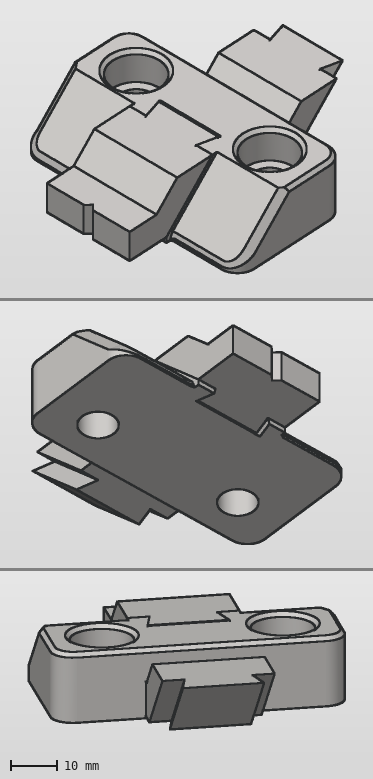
import cadquery as cq
import math


block_width = 65.0
block_height = 16.0
back_y = 10.5
wing_front_y = -23.0
corner_radius = 5.0
top_chamfer = 1.0

pad_width = 24.8
pad_front_y = -24.5
seat_top_y = -10.0
wing_drop = 1.0
pad_root_radius = 1.0

left_setback = 2.5
right_setback = 1.8

screw_spacing = 40.0
screw_hole_diameter = 9.0
counterbore_diameter = 14.0
counterbore_depth = 8.6
counterbore_chamfer = 1.0

dovetail_neck_width = 15.0
dovetail_angle = 15.0
tail_length = 5.5
groove_depth = 6.0

slider_width = pad_width
slider_bottom_z = 1.5
slider_front_y = -36.0
nose_height = 8.0
slider_top_length = 11.1
notch_depth = 1.4

rear_shift_y = 38.95
rear_shift_z = -1.05

half_width = block_width / 2
half_pad = pad_width / 2
slope_top_y = seat_top_y + wing_drop * math.sqrt(2)
slope_normal = cq.Vector(0, -math.sqrt(0.5), math.sqrt(0.5))
clearance = 1.0
cutter_reach = 1.5


def side_profile(points, width):
    """Prism of a (Y, Z) outline, centred across X."""
    return cq.Workplane("YZ").polyline(points).close().extrude(width / 2, both=True)


def cut_slope(body, top_y):
    """Remove everything in front of the 45 degree plane that meets the block top at top_y."""
    drop = block_height + clearance
    waste = [
        (top_y + clearance, block_height + clearance),
        (top_y - drop, -clearance),
        (top_y - 2 * drop, -clearance),
        (top_y - 2 * drop, block_height + clearance),
    ]
    return body.cut(side_profile(waste, block_width + 2 * clearance))


def chamfer_section(x, y, out_x, out_y, setback):
    """Triangle trimming the slope edge.

    (x, y) is the point one setback inside the wall, whose outward normal is (out_x, out_y). The
    chamfer joins the points of slope and wall that are one setback away from that inner point.
    """
    slope_z = block_height - (slope_top_y - y)
    inner = cq.Vector(x, y, slope_z - setback * math.sqrt(2))
    wall_normal = cq.Vector(out_x, out_y, 0)
    on_slope = inner + slope_normal * setback
    on_wall = inner + wall_normal * setback
    outside = inner + (slope_normal + wall_normal) * (cutter_reach * setback)
    return cq.Wire.makePolygon([on_slope, on_wall, outside], close=True)


def slope_chamfer_cutters(side, setback):
    """Cutters along the side, corner, front and pad-root edges of one wing slope."""
    corner_x = half_width - corner_radius
    corner_y = wing_front_y + corner_radius
    corner_path_radius = corner_radius - setback
    root_x = half_pad + pad_root_radius
    root_y = wing_front_y - pad_root_radius
    root_path_radius = pad_root_radius + setback

    def corner_section(angle):
        out_x = math.cos(angle)
        out_y = -math.sin(angle)
        x = corner_x + corner_path_radius * out_x
        y = corner_y + corner_path_radius * out_y
        return chamfer_section(side * x, y, side * out_x, out_y, setback)

    def root_section(angle):
        out_x = math.sin(angle)
        out_y = -math.cos(angle)
        x = root_x - root_path_radius * out_x
        y = root_y - root_path_radius * out_y
        return chamfer_section(side * x, y, side * out_x, out_y, setback)

    side_start_y = slope_top_y + corner_radius
    side_start = chamfer_section(side * (half_width - setback), side_start_y, side, 0, setback)
    corner = [corner_section(math.radians(angle)) for angle in (0, 22.5, 45, 67.5, 90)]
    root = [root_section(math.radians(angle)) for angle in (0, 20, 40, 60)]
    return [
        cq.Solid.makeLoft([side_start, corner[0]], True),
        cq.Solid.makeLoft(corner),
        cq.Solid.makeLoft([corner[-1], root[0]], True),
        cq.Solid.makeLoft(root),
    ]


def make_wings():
    """Rounded block with lowered slopes and chamfered edges, with the pad foot cut down to the slope."""
    body = (
        cq.Workplane("XY")
        .moveTo(-half_width, back_y)
        .lineTo(half_width, back_y)
        .lineTo(half_width, wing_front_y)
        .lineTo(half_pad, wing_front_y)
        .lineTo(half_pad, pad_front_y)
        .lineTo(-half_pad, pad_front_y)
        .lineTo(-half_pad, wing_front_y)
        .lineTo(-half_width, wing_front_y)
        .close()
        .extrude(block_height)
    )
    for side in (-1, 1):
        for y in (back_y, wing_front_y):
            corner = cq.selectors.NearestToPointSelector((side * half_width, y, block_height / 2))
            body = body.edges(corner).fillet(corner_radius)
        root = cq.selectors.NearestToPointSelector((side * half_pad, wing_front_y, block_height / 2))
        body = body.edges(root).fillet(pad_root_radius)
    body = body.faces(">Z").edges("not <Y").chamfer(top_chamfer)
    body = cut_slope(body, slope_top_y)
    for side, setback in ((-1, left_setback), (1, right_setback)):
        for cutter in slope_chamfer_cutters(side, setback):
            body = body.cut(cq.Workplane(cutter))
    return body


def make_pad():
    """Central pad with the seat at 45 degrees."""
    pad_back_y = back_y - top_chamfer
    pad = (
        cq.Workplane("XY")
        .center(0, (pad_back_y + pad_front_y) / 2)
        .rect(pad_width, pad_back_y - pad_front_y)
        .extrude(block_height)
    )
    return cut_slope(pad, seat_top_y)


def make_dovetail(depth, bottom_z):
    """Dovetail running down the seat from the block top to bottom_z, wider away from the seat."""
    neck = dovetail_neck_width / 2
    widening = math.tan(math.radians(dovetail_angle))
    end = neck + depth * widening
    length = block_height - bottom_z
    front = neck - clearance * widening
    y_end = seat_top_y + depth
    y_front = seat_top_y - clearance
    top = cq.Wire.makePolygon(
        [
            cq.Vector(-front, y_front, block_height),
            cq.Vector(front, y_front, block_height),
            cq.Vector(end, y_end, block_height),
            cq.Vector(-end, y_end, block_height),
        ],
        close=True,
    )
    return cq.Workplane(cq.Solid.extrudeLinear(top, [], cq.Vector(0, -length, -length)))


def make_screw_holes():
    """Both screw holes with their counterbores and lead-in chamfers, as cutting bodies."""
    hole_radius = screw_hole_diameter / 2
    bore_radius = counterbore_diameter / 2
    counterbore_floor_z = block_height - counterbore_depth
    outline = [
        (0, 0),
        (hole_radius, 0),
        (hole_radius, counterbore_floor_z),
        (bore_radius, counterbore_floor_z),
        (bore_radius, block_height - counterbore_chamfer),
        (bore_radius + counterbore_chamfer, block_height),
        (0, block_height),
    ]
    tool = cq.Workplane("XZ").polyline(outline).close().revolve(360, (0, 0), (0, 1))
    half_spacing = screw_spacing / 2
    return [tool.translate((side * half_spacing, 0, 0)) for side in (-1, 1)]


def make_nose_pocket():
    """Pocket in the block's back for the nose of the rear slider, as a cutting body."""
    pocket_end_y = slider_front_y + rear_shift_y
    pocket_bottom_z = slider_bottom_z + rear_shift_z
    depth = back_y - pocket_end_y
    pocket = cq.Workplane("XY").box(slider_width, depth, nose_height, centered=(True, False, False))
    return pocket.translate((0, pocket_end_y, pocket_bottom_z))


def make_block():
    body = make_wings().union(make_pad())
    body = body.cut(make_dovetail(groove_depth, -groove_depth))
    for hole in make_screw_holes():
        body = body.cut(hole)
    return body.cut(make_nose_pocket())


def make_slider():
    """Slider with a sloped back on the seat, a stepped nose with a V notch, and a dovetail."""
    nose_top_z = slider_bottom_z + nose_height
    front_slope_y = seat_top_y - slider_top_length
    nose_back_y = front_slope_y - (block_height - nose_top_z)
    seat_bottom_y = seat_top_y - (block_height - slider_bottom_z)
    outline = [
        (seat_top_y, block_height),
        (front_slope_y, block_height),
        (nose_back_y, nose_top_z),
        (slider_front_y, nose_top_z),
        (slider_front_y, slider_bottom_z),
        (seat_bottom_y, slider_bottom_z),
    ]
    body = side_profile(outline, slider_width)
    body = body.union(make_dovetail(tail_length, slider_bottom_z))
    notch = (
        cq.Workplane("XY", origin=(0, slider_front_y, slider_bottom_z))
        .polyline([(-notch_depth, 0), (notch_depth, 0), (0, notch_depth)])
        .close()
        .extrude(nose_height)
    )
    return body.cut(notch)


block = make_block()
slider_places = [(0, 0, 0), (0, rear_shift_y, rear_shift_z)]
sliders = [make_slider().translate(place) for place in slider_places]

result = cq.Compound.makeCompound([block.solids().val()] + [slider.solids().val() for slider in sliders])